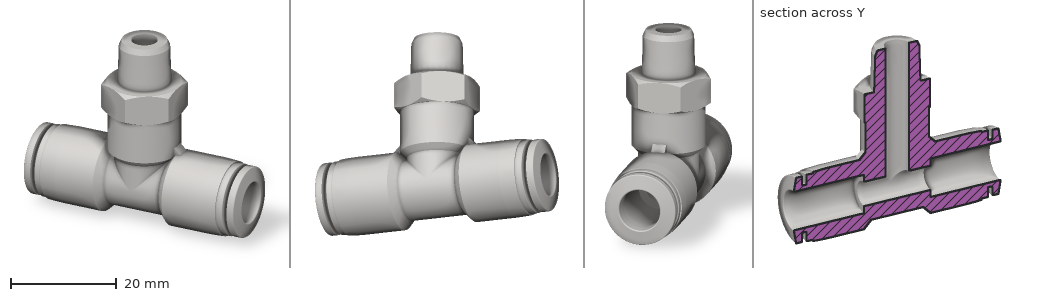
import cadquery as cq
import math


overall_length = 45.1
run_end = overall_length / 2
body_radius = 14.8 / 2
neck_radius = 11.6 / 2
neck_half_length = 5.65
shoulder_x = neck_half_length + body_radius - neck_radius
taper_start_x = 15.3
taper_end_x = 18.45
taper_end_radius = 7.25
body_end_x = 19.8
body_end_radius = 14 / 2
body_end_fillet = 0.15

collar_radius = 13.8 / 2
collar_stem_radius = 9.94 / 2
collar_root_fillet = 0.35
collar_inner_x = 20.7
collar_face_angle = 10
collar_rim_fillet = 0.2

tube_bore_radius = 7.94 / 2
tube_bore_rim_fillet = 0.25
tube_stop_x = shoulder_x
flow_radius = 5 / 2

stem_radius = 14 / 2
stem_bottom_z = 6.8
stem_bottom_chamfer = stem_radius - neck_radius
hex_bottom_z = 14.8
hex_top_z = 20.8
hex_across_corners = 16.5
hex_across_flats = hex_across_corners * math.cos(math.radians(30))
hex_chamfer_angle = 30
thread_root_radius = 10.2 / 2
thread_tip_radius = 9.72 / 2
thread_tip_chamfer_height = 1.1
thread_tip_face_radius = 8.7 / 2
overall_height = 36.7
branch_top_z = overall_height - body_radius

gusset_width = 2.6
gusset_foot_x = 8.25


def run_half():
    """Half of the run on the +X side: neck, body and release collar."""
    face_tilt = math.radians(collar_face_angle)
    rim_turn = math.pi / 2 - face_tilt
    cone_inner_radius = tube_bore_radius + tube_bore_rim_fillet
    rim_center_radius = collar_radius - collar_rim_fillet
    cone_outer_radius = rim_center_radius + collar_rim_fillet * math.sin(face_tilt)
    cone_outer_x = run_end - (cone_outer_radius - cone_inner_radius) * math.tan(face_tilt)
    rim_center_x = cone_outer_x - collar_rim_fillet * math.cos(face_tilt)
    rim_mid_x = rim_center_x + collar_rim_fillet * math.sin(rim_turn / 2)
    rim_mid_radius = rim_center_radius + collar_rim_fillet * math.cos(rim_turn / 2)
    return (
        cq.Workplane("XY")
        .moveTo(0, 0)
        .lineTo(0, neck_radius)
        .lineTo(neck_half_length, neck_radius)
        .lineTo(shoulder_x, body_radius)
        .lineTo(taper_start_x, body_radius)
        .tangentArcPoint((taper_end_x, taper_end_radius), relative=False)
        .lineTo(taper_end_x, body_end_radius)
        .lineTo(body_end_x - body_end_fillet, body_end_radius)
        .radiusArc((body_end_x, body_end_radius - body_end_fillet), body_end_fillet)
        .lineTo(body_end_x, collar_stem_radius)
        .lineTo(collar_inner_x - collar_root_fillet, collar_stem_radius)
        .radiusArc(
            (collar_inner_x, collar_stem_radius + collar_root_fillet),
            -collar_root_fillet,
        )
        .lineTo(collar_inner_x, collar_radius)
        .lineTo(rim_center_x, collar_radius)
        .threePointArc((rim_mid_x, rim_mid_radius), (cone_outer_x, cone_outer_radius))
        .lineTo(run_end, cone_inner_radius)
        .lineTo(run_end, 0)
        .close()
        .revolve(360, (0, 0, 0), (1, 0, 0))
    )


def run_half_bore():
    """Tube socket with a rounded mouth, stepping down to the flow passage."""
    return (
        cq.Workplane("XY")
        .moveTo(0, 0)
        .lineTo(0, flow_radius)
        .lineTo(tube_stop_x, flow_radius)
        .lineTo(tube_stop_x, tube_bore_radius)
        .lineTo(run_end - tube_bore_rim_fillet, tube_bore_radius)
        .radiusArc((run_end, tube_bore_radius + tube_bore_rim_fillet), -tube_bore_rim_fillet)
        .lineTo(run_end, 0)
        .close()
        .revolve(360, (0, 0, 0), (1, 0, 0))
    )


def branch():
    """Round branch: neck, stem and tapered thread blank."""
    return (
        cq.Workplane("XZ")
        .moveTo(0, 0)
        .lineTo(neck_radius, 0)
        .lineTo(neck_radius, stem_bottom_z - stem_bottom_chamfer)
        .lineTo(stem_radius, stem_bottom_z)
        .lineTo(stem_radius, hex_top_z)
        .lineTo(thread_root_radius, hex_top_z)
        .lineTo(thread_tip_radius, branch_top_z - thread_tip_chamfer_height)
        .lineTo(thread_tip_face_radius, branch_top_z)
        .lineTo(0, branch_top_z)
        .close()
        .revolve(360, (0, 0, 0), (0, 1, 0))
    )


def hexagon():
    """Wrench hexagon with corners on Y, its corners coned off at both ends."""
    corner_radius = hex_across_corners / 2
    flat_radius = hex_across_flats / 2
    drop = (corner_radius - flat_radius) * math.tan(math.radians(hex_chamfer_angle))
    prism = (
        cq.Workplane("XY")
        .workplane(offset=hex_bottom_z)
        .transformed(rotate=(0, 0, 90))
        .polygon(6, hex_across_corners)
        .extrude(hex_top_z - hex_bottom_z)
    )
    cone_envelope = (
        cq.Workplane("XZ")
        .moveTo(0, hex_bottom_z)
        .lineTo(flat_radius, hex_bottom_z)
        .lineTo(corner_radius, hex_bottom_z + drop)
        .lineTo(corner_radius, hex_top_z - drop)
        .lineTo(flat_radius, hex_top_z)
        .lineTo(0, hex_top_z)
        .close()
        .revolve(360, (0, 0, 0), (0, 1, 0))
    )
    return prism.intersect(cone_envelope)


def gussets():
    """One plate through the stem, showing as a 45 degree gusset on each side."""
    stem_contact_z = body_radius + gusset_foot_x - stem_radius
    return (
        cq.Workplane("XZ")
        .moveTo(-gusset_foot_x, neck_radius)
        .lineTo(-gusset_foot_x, body_radius)
        .lineTo(-stem_radius, stem_contact_z)
        .lineTo(stem_radius, stem_contact_z)
        .lineTo(gusset_foot_x, body_radius)
        .lineTo(gusset_foot_x, neck_radius)
        .close()
        .extrude(gusset_width / 2, both=True)
    )


def both_ends(half):
    """Join a +X half with its mirror image."""
    return half.union(half.mirror("YZ"))


branch_passage = cq.Workplane("XY").circle(flow_radius).extrude(branch_top_z)

result = (
    both_ends(run_half())
    .union(branch())
    .union(hexagon())
    .union(gussets())
    .cut(both_ends(run_half_bore()))
    .cut(branch_passage)
)